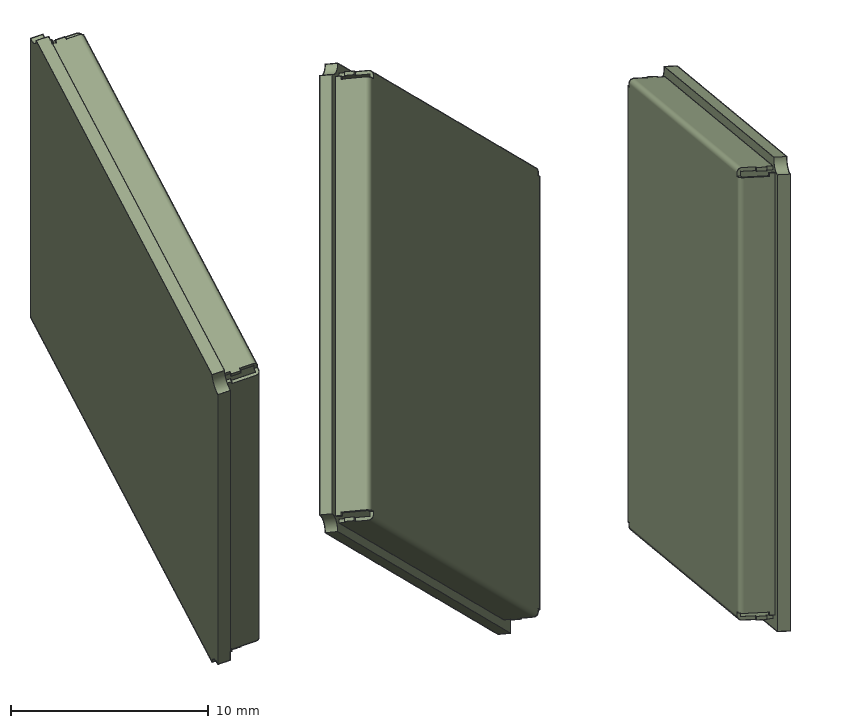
import cadquery as cq

board_size = 24.4
board_thickness = 0.68
notch_radius = 0.75

total_depth = 2.55
can_size = 23.42
sheet = 0.2
bend_radius = 0.27
wall_length = 22.55

tab_reach = 0.17
side_tab_height = 0.3
top_tab_height = 0.54
top_tab_offset = 0.37

can_depth = total_depth - board_thickness
half_board = board_size / 2
tabbed_length = wall_length + 2 * tab_reach


def make_board():
    """Square plate with round notches at every corner except -X, -Z."""
    board = cq.Workplane("XY").box(
        board_size, board_thickness, board_size, centered=(True, False, True)
    )
    notched_corners = [
        (-half_board, half_board),
        (half_board, half_board),
        (half_board, -half_board),
    ]
    notches = (
        cq.Workplane("XZ")
        .pushPoints(notched_corners)
        .circle(notch_radius)
        .extrude(-board_thickness)
    )
    return board.cut(notches)


def y_block(width, start, depth, height):
    """Block centred on X and Z, reaching from Y = start over the given depth."""
    return (
        cq.Workplane("XY")
        .box(width, depth, height, centered=(True, False, True))
        .translate((0, start, 0))
    )


def folded_channel():
    """Back sheet with its two bent walls at -X and +X."""
    inner_size = can_size - 2 * sheet
    outer = y_block(can_size, board_thickness, can_depth, wall_length)
    outer = outer.edges("|Z and >Y").fillet(bend_radius)
    inner = y_block(inner_size, board_thickness, can_depth - sheet, wall_length)
    return outer.cut(inner)


def wall_tabs(start, height):
    """Strips that lengthen the -X and +X walls at both ends."""
    strips = y_block(can_size, start, height, tabbed_length)
    return strips.cut(y_block(can_size - 2 * sheet, start, height, tabbed_length))


def make_can():
    """Five-sided cover made of two crossing channels, open at its corners."""
    side_walls = folded_channel().union(wall_tabs(board_thickness, side_tab_height))
    top_walls = folded_channel().union(
        wall_tabs(board_thickness + top_tab_offset, top_tab_height)
    )
    top_walls = top_walls.rotate((0, 0, 0), (0, 1, 0), 90)
    return side_walls.union(top_walls)


board = make_board()
can = make_can()

result = cq.Compound.makeCompound([board.val(), can.val()])